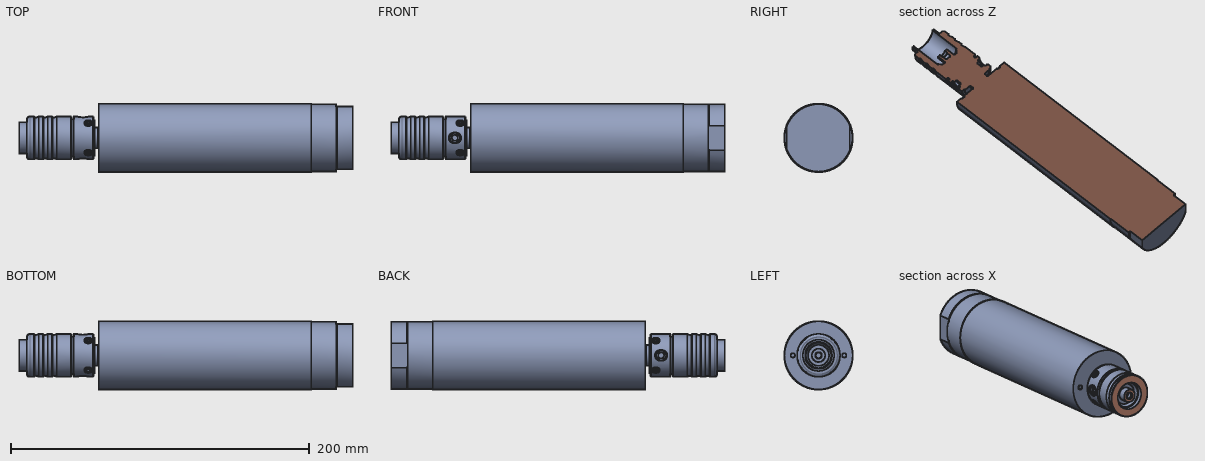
import cadquery as cq
import math

total_length = 223.5
nose_end = 5.1
sleeve_end = 35.0
collar_start = 36.7
collar_end = 49.8
flange_end = 50.5
stem_step = 52.5
body_start = 53.2
body_end = 195.5
cap_groove_start = 212.3
cap_groove_width = 0.7

nose_diameter = 21.0
sleeve_diameter = 28.8
gap_diameter = 25.0
flange_diameter = 24.0
stem_diameter = 14.0
stem_root_diameter = 13.9
body_diameter = 46.0
cap_diameter = 45.4
cap_groove_diameter = 45.1

sleeve_fillet = 2.0
edge_chamfer = 0.7

groove_count = 3
groove_pitch = 6.0
first_groove_start = 9.8
groove_width = 3.4
groove_depth = 0.7
groove_flank = 0.7

bore_diameter = 18.0
bore_depth = 22.4
cone_mouth_diameter = 17.0
cone_floor_diameter = 14.0
cone_length = 2.2
contact_diameter = 9.0
contact_height = 6.7
contact_hole_diameter = 4.5
contact_hole_depth = 2.2
contact_pilot_diameter = 3.8
contact_pilot_depth = 3.4

side_hole_x = 42.7
side_hole_diameter = 6.7
side_hole_depth = 2.2
side_hole_chamfer = 0.5
side_pilot_diameter = 4.0
side_pilot_depth = 2.2

screw_x = 46.3
screw_count = 4
first_screw_angle = 45.0
screw_diameter = 5.1
screw_depth = 0.7
screw_socket_diameter = 3.0
screw_socket_depth = 1.8

face_hole_diameter = 3.0
face_hole_offset = 17.2
face_hole_depth = 0.7

flat_spacing = 42.2

sleeve_radius = sleeve_diameter / 2


def cylinder(start, end, diameter):
    """Solid cylinder on the X axis between two X positions."""
    return cq.Workplane("YZ").workplane(offset=start).circle(diameter / 2).extrude(end - start)


def grip_groove(start):
    """Ring with the section of one grip groove."""
    end = start + groove_width
    foot = start + groove_flank
    floor_radius = sleeve_radius - groove_depth
    rise_length = end - foot
    arc_radius = (rise_length**2 + groove_depth**2) / (2 * groove_depth)
    half_angle = math.asin(rise_length / arc_radius) / 2
    middle = (
        foot + arc_radius * math.sin(half_angle),
        floor_radius + arc_radius * (1 - math.cos(half_angle)),
    )
    outside = sleeve_radius + groove_depth
    return (
        cq.Workplane("XY")
        .moveTo(start, sleeve_radius)
        .lineTo(foot, floor_radius)
        .threePointArc(middle, (end, sleeve_radius))
        .lineTo(end, outside)
        .lineTo(start, outside)
        .close()
        .revolve(360, (0, 0, 0), (1, 0, 0))
    )


def sleeve():
    """Grip sleeve with a rounded front edge, chamfered rear edge and grip grooves."""
    solid = cylinder(nose_end, sleeve_end, sleeve_diameter)
    solid = solid.faces("<X").edges().fillet(sleeve_fillet)
    solid = solid.faces(">X").edges().chamfer(edge_chamfer)
    for index in range(groove_count):
        solid = solid.cut(grip_groove(first_groove_start + index * groove_pitch))
    return solid


def radial_hole(x, angle, diameter, depth):
    """Cutter for a blind hole whose floor lies `depth` below the collar surface.

    The angle turns about X, from +Y towards +Z.
    """
    floor = sleeve_radius - depth
    drill = cq.Workplane("XZ", origin=(x, floor, 0)).circle(diameter / 2).extrude(-2 * depth)
    return drill.rotate((0, 0, 0), (1, 0, 0), angle)


def side_countersink(angle):
    """Cone that breaks the mouth of a side hole."""
    mouth_radius = side_hole_diameter / 2
    rim = math.sqrt(sleeve_radius**2 - mouth_radius**2)
    cone = cq.Solid.makeCone(
        mouth_radius,
        mouth_radius + 2 * side_hole_chamfer,
        2 * side_hole_chamfer,
        cq.Vector(side_hole_x, rim - side_hole_chamfer, 0),
        cq.Vector(0, 1, 0),
    )
    return cq.Workplane(obj=cone).rotate((0, 0, 0), (1, 0, 0), angle)


def collar():
    """Collar with side holes and screw recesses."""
    solid = cylinder(collar_start, collar_end, sleeve_diameter)
    solid = solid.faces(">X").edges().chamfer(edge_chamfer)
    for angle in (0, 180):
        solid = solid.cut(radial_hole(side_hole_x, angle, side_hole_diameter, side_hole_depth))
        pilot_floor = side_hole_depth + side_pilot_depth
        solid = solid.cut(radial_hole(side_hole_x, angle, side_pilot_diameter, pilot_floor))
        solid = solid.cut(side_countersink(angle))
    for index in range(screw_count):
        angle = first_screw_angle + index * 360 / screw_count
        solid = solid.cut(radial_hole(screw_x, angle, screw_diameter, screw_depth))
        socket_floor = screw_depth + screw_socket_depth
        solid = solid.cut(radial_hole(screw_x, angle, screw_socket_diameter, socket_floor))
    return solid


def socket_cutter():
    """Bore with a conical bottom, leaving a hollow contact standing on its floor."""
    floor = bore_depth + cone_length
    contact_tip = floor - contact_height
    hole_floor = contact_tip + contact_hole_depth
    cone = cq.Solid.makeCone(
        cone_mouth_diameter / 2,
        cone_floor_diameter / 2,
        cone_length,
        cq.Vector(bore_depth, 0, 0),
        cq.Vector(1, 0, 0),
    )
    return (
        cylinder(0, bore_depth, bore_diameter)
        .union(cq.Workplane(obj=cone))
        .cut(cylinder(contact_tip, floor, contact_diameter))
        .union(cylinder(contact_tip, hole_floor, contact_hole_diameter))
        .union(cylinder(hole_floor, hole_floor + contact_pilot_depth, contact_pilot_diameter))
    )


def body():
    """Main barrel with two holes in its front face."""
    solid = cylinder(body_start, body_end, body_diameter)
    for side in (-1, 1):
        hole = cylinder(body_start, body_start + face_hole_depth, face_hole_diameter)
        solid = solid.cut(hole.translate((0, side * face_hole_offset, 0)))
    return solid


def end_cap():
    """End cap with a shallow groove and two wrench flats facing -Y and +Y."""
    cap_groove_end = cap_groove_start + cap_groove_width
    solid = cylinder(body_end, cap_groove_start, cap_diameter)
    tail = cylinder(cap_groove_start, cap_groove_end, cap_groove_diameter)
    tail = tail.union(cylinder(cap_groove_end, total_length, cap_diameter))
    flat_stock = cq.Workplane("XY").box(2 * total_length, flat_spacing, 2 * body_diameter)
    return solid.union(tail.intersect(flat_stock))


result = (
    cylinder(0, nose_end, nose_diameter)
    .union(sleeve())
    .union(cylinder(sleeve_end, collar_start, gap_diameter))
    .union(collar())
    .union(cylinder(collar_end, flange_end, flange_diameter))
    .union(cylinder(flange_end, stem_step, stem_diameter))
    .union(cylinder(stem_step, body_start, stem_root_diameter))
    .union(body())
    .union(end_cap())
    .cut(socket_cutter())
)